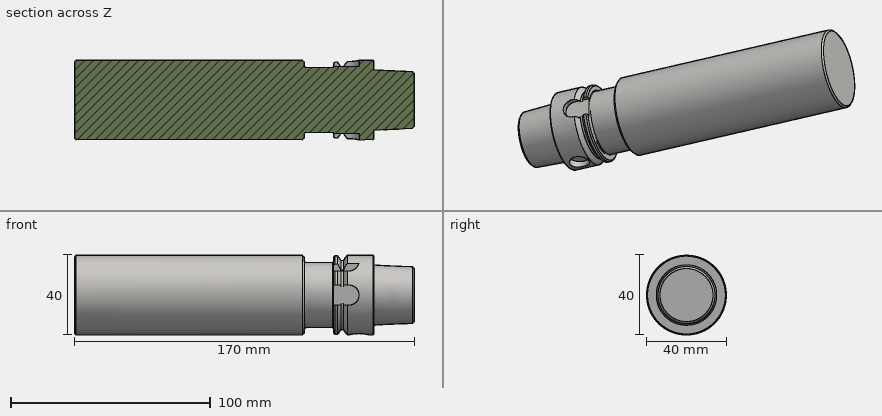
import cadquery as cq

total_length = 170.0
body_radius = 40.0 / 2
neck_radius = 32.6 / 2
body_end = 115.0
front_chamfer = 0.8
body_chamfer = 1.0
neck_fillet = 1.0

flange_start = 129.5
rim_radius = 19.7
rim_chamfer = 0.7
rim_fillet = 0.5
flange_end = 149.8
flange_chamfer = 0.5
groove_radius = 17.3
groove_start = 131.5
groove_floor_start = 133.3
groove_floor_end = 134.5
groove_end = 135.7
groove_lip = 0.8

shank_root_radius = 15.1
shank_tip_radius = 14.3
shank_chamfer = 1.0

slot_width = 10.0
slot_end = 142.3
slot_floor = 16.8
notch_floor = 12.0
pocket_diameter = 10.0
pocket_center_x = 142.3
pocket_floor = 16.3


def turned_blank():
    """Revolve the half outline of body, neck, grooved flange and shank."""
    outline = (
        cq.Workplane("XY")
        .moveTo(0, 0)
        .lineTo(0, body_radius - front_chamfer)
        .lineTo(front_chamfer, body_radius)
        .lineTo(body_end - body_chamfer, body_radius)
        .lineTo(body_end, body_radius - body_chamfer)
        .lineTo(body_end, neck_radius + neck_fillet)
        .radiusArc((body_end + neck_fillet, neck_radius), -neck_fillet)
        .lineTo(flange_start - rim_fillet, neck_radius)
        .radiusArc((flange_start, neck_radius + rim_fillet), -rim_fillet)
        .lineTo(flange_start, rim_radius - rim_chamfer)
        .lineTo(flange_start + rim_chamfer, rim_radius)
        .lineTo(groove_start, rim_radius)
        .lineTo(groove_floor_start, groove_radius)
        .lineTo(groove_floor_end, groove_radius)
        .lineTo(groove_end, body_radius - groove_lip)
        .lineTo(groove_end + groove_lip, body_radius)
        .lineTo(flange_end - flange_chamfer, body_radius)
        .lineTo(flange_end, body_radius - flange_chamfer)
        .lineTo(flange_end, shank_root_radius)
        .lineTo(total_length - shank_chamfer, shank_tip_radius)
        .lineTo(total_length, shank_tip_radius - shank_chamfer)
        .lineTo(total_length, 0)
        .close()
    )
    return outline.revolve(360, (0, 0, 0), (1, 0, 0))


def slot_cutter(center_z, floor):
    """Slot entering from the neck side, cut towards +Y down to y = -floor."""
    end_radius = slot_width / 2
    arc_center_x = slot_end - end_radius
    return (
        cq.Workplane("XZ", origin=(0, -floor, center_z))
        .moveTo(flange_start, -end_radius)
        .lineTo(arc_center_x, -end_radius)
        .threePointArc((slot_end, 0), (arc_center_x, end_radius))
        .lineTo(flange_start, end_radius)
        .close()
        .extrude(body_radius)
    )


def pocket_cutter():
    """Round pocket sunk into the underside of the flange."""
    return (
        cq.Workplane("XY", origin=(pocket_center_x, 0, -pocket_floor))
        .circle(pocket_diameter / 2)
        .extrude(-body_radius)
    )


drive_slot = slot_cutter(0, slot_floor)
opposite_slot = drive_slot.mirror("XZ")
corner_notch = slot_cutter(notch_floor + slot_width / 2, notch_floor)

result = (
    turned_blank()
    .cut(drive_slot)
    .cut(opposite_slot)
    .cut(corner_notch)
    .cut(pocket_cutter())
)